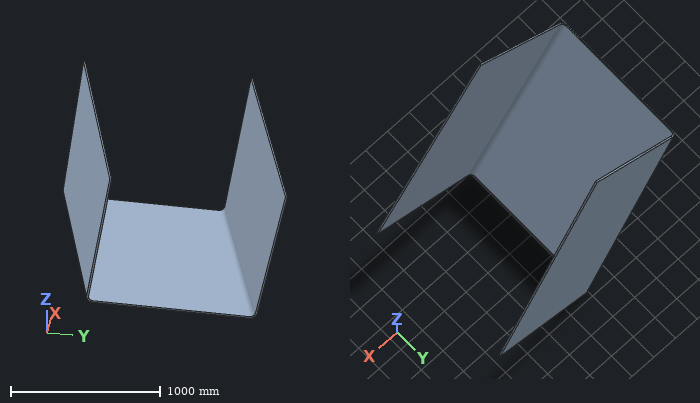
import cadquery as cq
import math

upper_bend_corner = (0.0, 1360.0)
upper_free_corner = (770.0, 1955.0)
lower_free_corner = (1717.0, 430.0)
lower_bend_corner = (840.0, 0.0)

sheet_thickness = 14.0
outer_bend_radius = 49.0
inner_bend_radius = outer_bend_radius - sheet_thickness

total_width = 1215.0
length_flare = 0.031
height_flare = 0.047

blank_margin = 391.0

slope_run = lower_bend_corner[0] - upper_bend_corner[0]
slope_drop = upper_bend_corner[1] - lower_bend_corner[1]
floor_length = math.hypot(slope_run, slope_drop)
slope_cos = slope_run / floor_length
slope_sin = slope_drop / floor_length
slope_frame = cq.Plane(
    origin=(upper_bend_corner[0], 0, upper_bend_corner[1]),
    xDir=(0, 1, 0),
    normal=(slope_cos, 0, -slope_sin),
)

corner_x = lower_free_corner[0] - upper_bend_corner[0]
corner_z = lower_free_corner[1] - upper_bend_corner[1]
corner_travel = corner_x * slope_cos - corner_z * slope_sin
corner_height = corner_x * slope_sin + corner_z * slope_cos
start_width = total_width - length_flare * corner_travel - height_flare * corner_height


def flared_block(inset, bend_radius):
    """Flared solid inset from the outer sheet faces, with both bend edges rounded."""
    top = corner_height + blank_margin
    far_inset = inset * math.sqrt(1 + length_flare**2 + height_flare**2)

    def section(travel):
        def far_side(height):
            return start_width + length_flare * travel + height_flare * height - far_inset

        corners = [(inset, inset), (far_side(inset), inset), (far_side(top), top), (inset, top)]
        points = [slope_frame.toWorldCoords((y, height, travel)) for y, height in corners]
        return cq.Wire.makePolygon(points, close=True)

    ends = [section(-blank_margin), section(floor_length + blank_margin)]
    block = cq.Workplane(cq.Solid.makeLoft(ends, True))

    floor_normal = cq.Vector(slope_sin, 0, slope_cos)
    floor_face = block.faces(cq.DirectionMinMaxSelector(floor_normal, False))
    bend_edges = floor_face.edges("not |Y")
    return bend_edges.fillet(bend_radius)


channel = flared_block(0, outer_bend_radius).cut(flared_block(sheet_thickness, inner_bend_radius))

side_outline = (
    cq.Workplane("XZ")
    .polyline([upper_bend_corner, upper_free_corner, lower_free_corner, lower_bend_corner])
    .close()
    .extrude(total_width + blank_margin, both=True)
)
result = channel.intersect(side_outline)